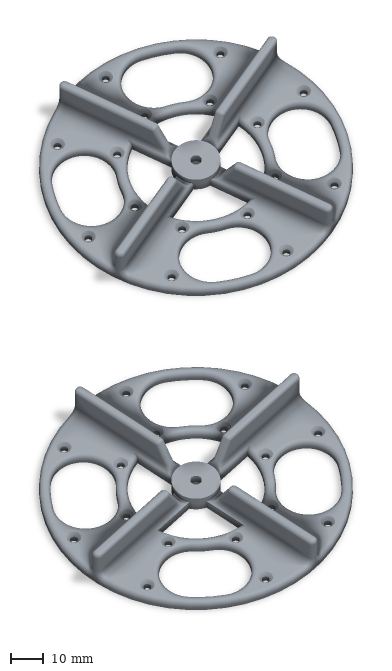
import cadquery as cq
import math

plate_radius = 48.0
plate_thickness = 3.0
edge_round = 1.5
center_hole_radius = 21.0

rib_count = 4
rib_angle_step = 360.0 / rib_count
rib_width = 3.2
rib_top_z = 12.8
rib_edge_round = 1.2
rib_base_fillet = 2.0
rib_foot_radius = 8.5
rib_slant_angle = 30.0
spoke_width = 6.2
sharp_opening_index = 1

hub_diameter = 15.0
hub_height = plate_thickness + rib_base_fillet
hub_hole_diameter = 3.5
hub_hole_depth = 3.0

window_width = 20.0
window_center_radius = 34.5
window_half_angle = 7.0

screw_diameter = 2.4
screw_head_diameter = 4.5
screw_head_angle = 90.0
screw_circle_radii = (24.5, 43.0)
screw_angle_from_rib = 20.0

trim_allowance = 4.0
strip_margin = 1.0
stock_radius = plate_radius + trim_allowance
tolerance = 0.01


def polar(radius, angle):
    """Point at a radius and an angle in degrees."""
    return (radius * math.cos(math.radians(angle)), radius * math.sin(math.radians(angle)))


def repeat_around(shape):
    """Copies of a shape at every rib angle."""
    return [shape.rotate((0, 0, 0), (0, 0, 1), index * rib_angle_step) for index in range(rib_count)]


def make_rib():
    """Rib along +X on a strip of plate, with a slanted inner end and a blended base."""
    slope = math.tan(math.radians(rib_slant_angle))
    bottom_x = rib_foot_radius - plate_thickness * slope
    top_x = bottom_x + rib_top_z * slope
    profile = [(bottom_x, 0), (stock_radius, 0), (stock_radius, rib_top_z), (top_x, rib_top_z)]
    rib = cq.Workplane("XZ").polyline(profile).close().extrude(rib_width / 2, both=True)

    strip_width = rib_width + 2 * (rib_base_fillet + strip_margin)
    strip = cq.Workplane("XY").box(
        stock_radius, strip_width, plate_thickness, centered=(False, True, False)
    )
    base_edges = cq.selectors.BoxSelector(
        (tolerance, -rib_width, plate_thickness - tolerance),
        (stock_radius - tolerance, rib_width, plate_thickness + tolerance),
    )
    return strip.union(rib).edges(base_edges).fillet(rib_base_fillet)


def make_windowed_plate():
    """Square plate stock with four curved windows whose upper edges are rounded."""
    inner_radius = window_center_radius - window_width / 2
    outer_radius = window_center_radius + window_width / 2
    plate = cq.Workplane("XY").rect(2 * stock_radius, 2 * stock_radius).extrude(plate_thickness)
    middle = rib_angle_step / 2
    start = middle - window_half_angle
    end = middle + window_half_angle
    tip_angle = math.degrees(2 * math.asin(window_width / 4 / window_center_radius))
    window_outline = cq.Workplane("XY").moveTo(*polar(outer_radius, start))
    window_outline = window_outline.threePointArc(polar(outer_radius, middle), polar(outer_radius, end))
    window_outline = window_outline.threePointArc(
        polar(window_center_radius, end + tip_angle), polar(inner_radius, end)
    )
    window_outline = window_outline.threePointArc(polar(inner_radius, middle), polar(inner_radius, start))
    window_outline = window_outline.threePointArc(
        polar(window_center_radius, start - tip_angle), polar(outer_radius, start)
    )
    for window in repeat_around(window_outline.close().extrude(plate_thickness)):
        plate = plate.cut(window)
    return plate.faces(">Z").edges("%CIRCLE").fillet(edge_round)


def is_rim_face(face):
    """True for a face whose vertices all lie on the plate radius."""
    distances = [math.hypot(vertex.X, vertex.Y) for vertex in face.Vertices()]
    return all(abs(distance - plate_radius) < tolerance for distance in distances)


def is_side_edge_of_rim(edge):
    """True for a rim edge that is neither at the bottom nor along the top of a rib."""
    box = edge.BoundingBox()
    return box.zmin > tolerance and box.zmin < rib_top_z - tolerance


def is_slanted_edge(edge):
    """True for a slanted edge at the inner end of a rib, between its base blend and its top."""
    box = edge.BoundingBox()
    middle = edge.Center()
    is_inside = math.hypot(middle.x, middle.y) < center_hole_radius
    return is_inside and box.zmin > plate_thickness + tolerance and box.zlen > rib_top_z / 2


def trim_and_round(body):
    """Trim to the round rim, then round the rim, the rib ends and the upper rib edges."""
    body = body.intersect(cq.Workplane("XY").circle(plate_radius).extrude(rib_top_z))
    rim_faces = body.faces("%CYLINDER").filter(is_rim_face)
    body = body.newObject(rim_faces.edges().filter(is_side_edge_of_rim).vals()).fillet(edge_round)
    top_edges = body.faces(">Z").edges().vals()
    slanted_edges = body.edges().filter(is_slanted_edge).vals()
    return body.newObject(top_edges + slanted_edges).fillet(rib_edge_round)


def make_half_spoke(is_rounded):
    """Space kept inside the center hole on the +Y half of the spoke along +X, open above."""
    half_width = spoke_width / 2
    outline = cq.Workplane("YZ").lineTo(half_width, 0)
    if is_rounded:
        blend_y = rib_width / 2 + rib_base_fillet
        blend_z = plate_thickness + rib_base_fillet
        round_y = half_width - edge_round
        centers_distance = edge_round + rib_base_fillet
        touch_angle = math.degrees(math.acos((blend_y - round_y) / centers_distance))
        round_z = blend_z - centers_distance * math.sin(math.radians(touch_angle))
        middle_y, middle_z = polar(edge_round, touch_angle / 2)
        touch_y, touch_z = polar(edge_round, touch_angle)
        outline = (
            outline.lineTo(half_width, round_z)
            .threePointArc((round_y + middle_y, round_z + middle_z), (round_y + touch_y, round_z + touch_z))
            .lineTo(round_y + touch_y, rib_top_z)
        )
    else:
        outline = outline.lineTo(half_width, rib_top_z)
    return outline.lineTo(0, rib_top_z).close().extrude(stock_radius)


def cut_center_hole(body):
    """Center hole with a rounded upper edge, interrupted by the spokes."""
    mouth_radius = center_hole_radius + edge_round
    arc_offset = edge_round * math.sin(math.radians(45))
    hole = (
        cq.Workplane("XZ")
        .lineTo(center_hole_radius, 0)
        .lineTo(center_hole_radius, plate_thickness - edge_round)
        .threePointArc(
            (mouth_radius - arc_offset, plate_thickness - edge_round + arc_offset),
            (mouth_radius, plate_thickness),
        )
        .lineTo(mouth_radius, rib_top_z)
        .lineTo(0, rib_top_z)
        .close()
        .revolve(360, (0, 0), (0, 1))
    )
    for index in range(rib_count):
        half_spoke = make_half_spoke(index != sharp_opening_index)
        next_half_spoke = half_spoke.mirror("XZ").rotate((0, 0, 0), (0, 0, 1), rib_angle_step)
        for kept in (half_spoke, next_half_spoke):
            hole = hole.cut(kept.rotate((0, 0, 0), (0, 0, 1), index * rib_angle_step))
    return body.cut(hole)


def add_hub(body):
    """Round hub with a blind center hole in its top."""
    hub = cq.Workplane("XY").circle(hub_diameter / 2).extrude(hub_height)
    return body.union(hub).cut(
        cq.Workplane("XY")
        .workplane(offset=hub_height - hub_hole_depth)
        .circle(hub_hole_diameter / 2)
        .extrude(hub_hole_depth)
    )


def cut_screw_holes(body):
    """Countersunk through holes on two circles, on both sides of each rib."""
    points = []
    for index in range(rib_count):
        for side in (-1, 1):
            angle = index * rib_angle_step + side * screw_angle_from_rib
            points += [polar(radius, angle) for radius in screw_circle_radii]
    head_overhang = (screw_head_diameter - screw_diameter) / 2
    head_depth = head_overhang / math.tan(math.radians(screw_head_angle / 2))
    holes = cq.Workplane("XY").pushPoints(points).circle(screw_diameter / 2).extrude(plate_thickness)
    head_bottom = cq.Vector(0, 0, plate_thickness - head_depth)
    head = cq.Solid.makeCone(screw_diameter / 2, screw_head_diameter / 2, head_depth, pnt=head_bottom)
    heads = cq.Workplane("XY").pushPoints(points).eachpoint(lambda place: head.moved(place))
    return body.cut(holes).cut(heads)


body = make_windowed_plate()
for rib in repeat_around(make_rib()):
    body = body.union(rib)
body = trim_and_round(body)
body = cut_center_hole(body)
body = add_hub(body)
result = cut_screw_holes(body)